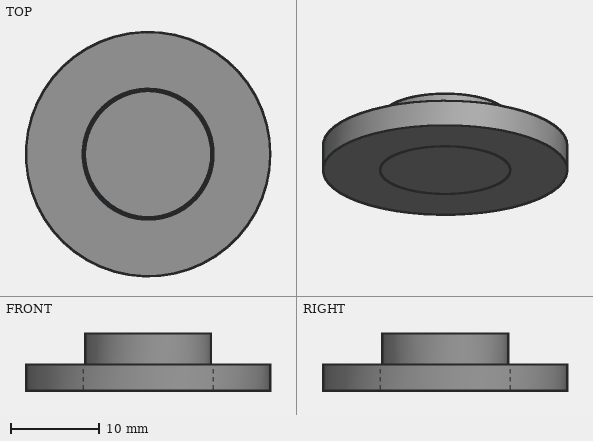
import cadquery as cq

washer_diameter = 27.7
washer_thickness = 3.0

foot_diameter = 14.7
foot_height = washer_thickness
boss_diameter = 14.3
overall_height = 6.5
boss_height = overall_height - foot_height

bore_diameter = 14.8


def make_washer():
    """Flat ring with a plain through bore."""
    return (
        cq.Workplane("XY")
        .circle(washer_diameter / 2)
        .circle(bore_diameter / 2)
        .extrude(washer_thickness)
    )


def make_plug():
    """Wide foot flush with both faces of the washer, carrying the boss."""
    foot = cq.Workplane("XY").circle(foot_diameter / 2).extrude(foot_height)
    return foot.faces(">Z").workplane().circle(boss_diameter / 2).extrude(boss_height)


washer = make_washer()
plug = make_plug()

result = cq.Compound.makeCompound([washer.val(), plug.val()])